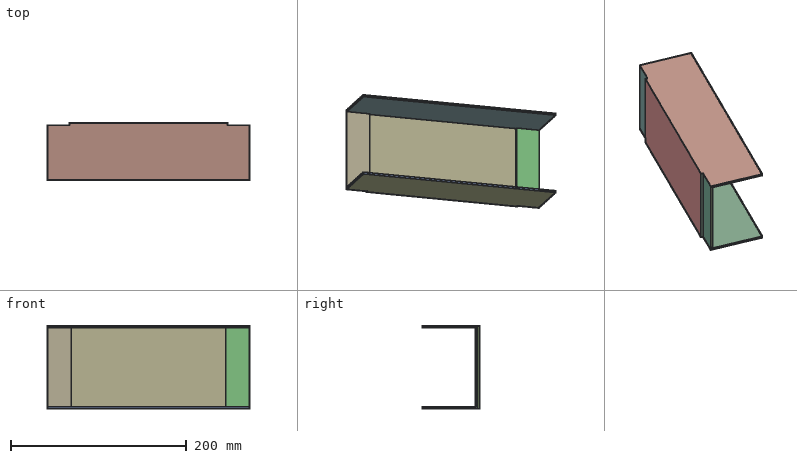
import cadquery as cq

LENGTH = 230.5
DEPTH = 65.2
HEIGHT = 94.4

WALL = 2.2
OFFSET = 2.5
END_LENGTH = 25.0

BODY_DEPTH = DEPTH - OFFSET
RAISED_LENGTH = LENGTH - 2 * END_LENGTH
RECESS_LENGTH = RAISED_LENGTH - 2 * WALL

FRONT_Y = -DEPTH / 2
BODY_BACK_Y = FRONT_Y + BODY_DEPTH


def block(length, height, y_start, depth):
    """Box centred on X and Z that runs from y_start towards +Y."""
    return (
        cq.Workplane("XY")
        .box(length, depth, height, centered=(True, False, True))
        .translate((0, y_start, 0))
    )


def channel():
    """Straight U channel, open towards -Y and at both ends."""
    outside = block(LENGTH, HEIGHT, FRONT_Y, BODY_DEPTH)
    inside = block(LENGTH, HEIGHT - 2 * WALL, FRONT_Y, BODY_DEPTH - WALL)
    return outside.cut(inside)


def raised_panel():
    """Full-height middle panel standing out behind the web."""
    return block(RAISED_LENGTH, HEIGHT, BODY_BACK_Y, OFFSET)


def web_recess():
    """Space inside the raised panel, leaving one wall thickness around it."""
    return block(RECESS_LENGTH, HEIGHT - 2 * WALL, BODY_BACK_Y - WALL, OFFSET)


result = channel().union(raised_panel()).cut(web_recess())